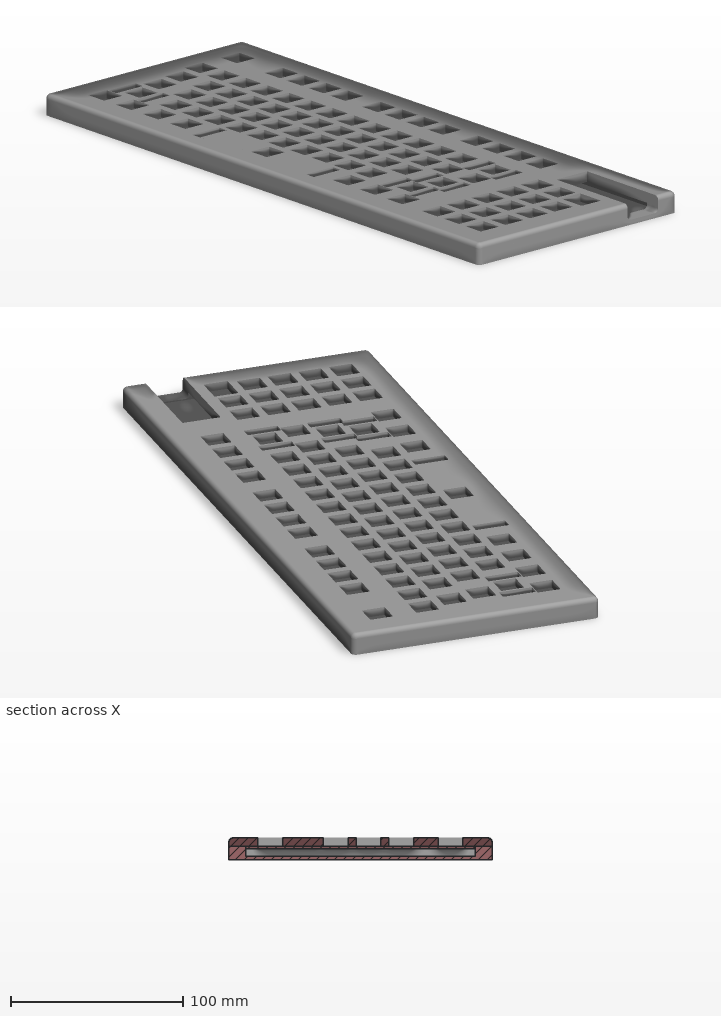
import cadquery as cq

LENGTH = 382.0
WIDTH = 153.0
HEIGHT = 13.0
LID_THICKNESS = 5.0
CASE_HEIGHT = HEIGHT - LID_THICKNESS

CORNER_RADIUS = 3.0
RIM_RADIUS = 2.83

WALL = 10.0
TRAY_LENGTH = LENGTH - 2 * WALL
TRAY_WIDTH = WIDTH - 2 * WALL
TRAY_DEPTH = 5.7
BOARD_THICKNESS = 1.5
BOARD_BASE = CASE_HEIGHT - BOARD_THICKNESS

WINDOW_LEFT = 128.5
WINDOW_FRONT = 38.5
WINDOW_BACK = 62.3
WINDOW_WIDTH = WINDOW_BACK - WINDOW_FRONT
WINDOW_MID_Y = (WINDOW_FRONT + WINDOW_BACK) / 2
NOTCH_DEPTH = 5.0
NOTCH_RADIUS = 2.3

COLUMN_SPAN = 333.5
LAST_COLUMN = 17.5
PITCH = COLUMN_SPAN / LAST_COLUMN
KEY_HOLE = 14.0
HOLE_CORNER_RADIUS = 0.57
GRID_SHIFT_X = -0.5
GRID_SHIFT_Y = -0.1
ROWS_FROM_BOTTOM = {"bottom": 0, "shift": 1, "home": 2, "tab": 3, "number": 4, "function": 5.5}
FIRST_COLUMN_X = GRID_SHIFT_X - COLUMN_SPAN / 2
BOTTOM_ROW_Y = GRID_SHIFT_Y - PITCH * ROWS_FROM_BOTTOM["function"] / 2

SLOT_WIDTH = 7.0
SLOT_HEIGHT = 20.5
SLOT_DROP = 1.0
WIDE_KEY_REACH = 12.0
SPACE_BAR_REACH = 50.0

KNOB_HOLE_LENGTH = 18.5
KNOB_HOLE_WIDTH = 15.0
KNOB_HOLE_RISE = 0.5


def run(first, count):
    """Columns of a row of neighbouring keys, one pitch apart."""
    return [first + i for i in range(count)]


KEY_COLUMNS = {
    "function": [0] + run(2, 4) + run(6.5, 4) + run(11, 4),
    "number": run(0, 13) + [13.5],
    "tab": [0.25] + run(1.5, 12) + [13.75],
    "home": [0.375] + run(1.75, 11) + [13.375],
    "shift": [0.625] + run(2.25, 10) + [13.125],
    "bottom": [0.125, 1.375, 2.625, 3.875, 7.625, 11.375, 12.625, 13.875],
}
PAD_ROWS = ["number", "tab", "home", "shift", "bottom"]
PAD_COLUMNS = run(15.5, 3)
KNOB_KEY = ("number", LAST_COLUMN)

STABILIZED_KEYS = [
    ("number", 13.5, WIDE_KEY_REACH),
    ("home", 13.375, WIDE_KEY_REACH),
    ("shift", 0.625, WIDE_KEY_REACH),
    ("shift", 13.125, WIDE_KEY_REACH),
    ("bottom", 7.625, SPACE_BAR_REACH),
]


def key_center(row, column):
    x = column * PITCH + FIRST_COLUMN_X
    y = BOTTOM_ROW_Y + ROWS_FROM_BOTTOM[row] * PITCH
    return x, y


def block(length, width, height, base_z):
    """Box centred on the Z axis and standing on base_z."""
    box = cq.Workplane("XY").box(length, width, height, centered=(True, True, False))
    return box.translate((0, 0, base_z))


def lid_cutter(centers, length, width):
    """Round-cornered prisms through the whole lid at the given centres."""
    sketch = cq.Workplane("XY").workplane(offset=CASE_HEIGHT).pushPoints(centers)
    return sketch.rect(length, width).extrude(LID_THICKNESS).edges("|Z").fillet(HOLE_CORNER_RADIUS)


def window_cutter(base_z, height):
    """Prism of the display window, running out past the +X side."""
    box = cq.Workplane("XY").box(LENGTH, WINDOW_WIDTH, height, centered=(False, True, False))
    return box.translate((WINDOW_LEFT, WINDOW_MID_Y, base_z))


def key_hole_centers():
    keys = [(row, column) for row, columns in KEY_COLUMNS.items() for column in columns]
    pad = [(row, column) for row in PAD_ROWS for column in PAD_COLUMNS]
    return [key_center(*key) for key in keys + pad if key != KNOB_KEY]


def slot_centers():
    centers = []
    for row, column, reach in STABILIZED_KEYS:
        x, y = key_center(row, column)
        centers += [(x - reach, y - SLOT_DROP), (x + reach, y - SLOT_DROP)]
    return centers


def make_case():
    case = block(LENGTH, WIDTH, CASE_HEIGHT, 0).edges("|Z").fillet(CORNER_RADIUS)
    case = case.cut(block(TRAY_LENGTH, TRAY_WIDTH, TRAY_DEPTH, CASE_HEIGHT - TRAY_DEPTH))
    notch = (
        cq.Workplane("XY")
        .box(2 * WALL, WINDOW_WIDTH, 2 * NOTCH_DEPTH)
        .edges("|X and <Z")
        .fillet(NOTCH_RADIUS)
        .translate((TRAY_LENGTH / 2 + WALL, WINDOW_MID_Y, CASE_HEIGHT))
    )
    return case.cut(notch)


def make_board():
    board = block(TRAY_LENGTH, TRAY_WIDTH, BOARD_THICKNESS, BOARD_BASE)
    return board.cut(window_cutter(BOARD_BASE, BOARD_THICKNESS))


def make_lid():
    lid = block(LENGTH, WIDTH, LID_THICKNESS, CASE_HEIGHT)
    lid = lid.edges("|Z").fillet(CORNER_RADIUS)
    lid = lid.faces(">Z").edges().fillet(RIM_RADIUS)
    lid = lid.cut(window_cutter(CASE_HEIGHT, LID_THICKNESS))
    lid = lid.cut(lid_cutter(key_hole_centers(), KEY_HOLE, KEY_HOLE))
    knob_x, knob_y = key_center(*KNOB_KEY)
    knob_center = (knob_x, knob_y + KNOB_HOLE_RISE)
    lid = lid.cut(lid_cutter([knob_center], KNOB_HOLE_LENGTH, KNOB_HOLE_WIDTH))
    for center in slot_centers():
        lid = lid.cut(lid_cutter([center], SLOT_WIDTH, SLOT_HEIGHT))
    return lid


case = make_case()
board = make_board()
lid = make_lid()

result = cq.Compound.makeCompound([case.val(), board.val(), lid.val()])